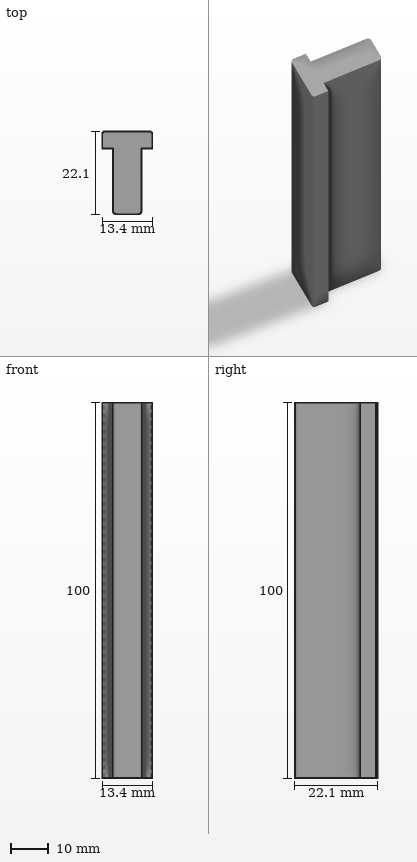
import cadquery as cq

length = 100.0
flange_width = 13.4
total_depth = 22.1

flange_thickness = 4.6
web_width = 7.7
web_edge_radius = 1.0
flange_edge_chamfer = 0.5

web_depth = total_depth - flange_thickness


def upright_bar(width, depth, front_y):
    """Full-length bar centred on X whose front face lies at front_y."""
    return (
        cq.Workplane("XY")
        .box(width, depth, length, centered=(True, False, False))
        .translate((0, front_y, 0))
    )


web = upright_bar(web_width, web_depth, 0).faces("<Y").edges("|Z").fillet(web_edge_radius)

flange = upright_bar(flange_width, flange_thickness, web_depth)
flange = flange.faces(">Y").edges("|Z").chamfer(flange_edge_chamfer)

result = web.union(flange)